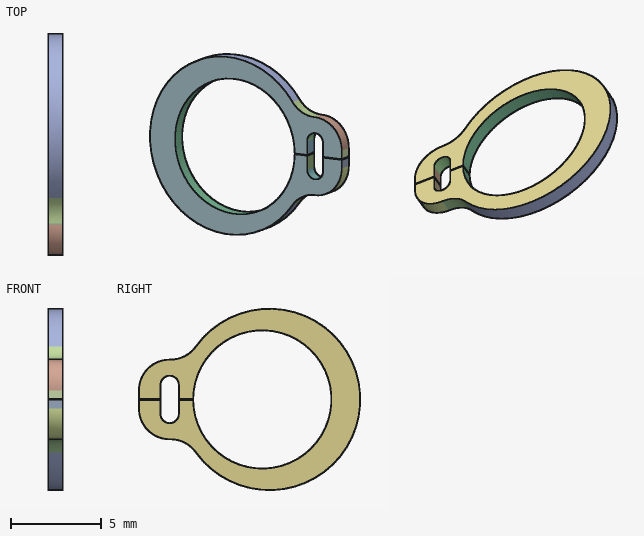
import cadquery as cq
import math

thickness = 0.8
outer_radius = 5.0
bore_radius = 3.8
bore_offset = 0.4

lug_corner_radius = 1.7
lug_flat_length = 1.0
blend_radius = 1.7

slot_center_distance = 5.5
slot_width = 1.0
slot_length = 2.6
split_gap = 0.05

lug_half_flat = lug_flat_length / 2
lug_half_height = lug_half_flat + lug_corner_radius
lug_corner_center = slot_center_distance
lug_tip = lug_corner_center + lug_corner_radius

blend_center_v = lug_half_height + blend_radius
blend_center_u = math.sqrt((outer_radius + blend_radius) ** 2 - blend_center_v ** 2)
ring_tangent_angle = math.atan2(blend_center_v, blend_center_u)


def point_on_arc(center, radius, angle):
    return (center[0] + radius * math.cos(angle), center[1] + radius * math.sin(angle))


def mirrored(point):
    return (point[0], -point[1])


def sketch_plane():
    return cq.Workplane(cq.Plane(origin=(thickness / 2, 0, 0), xDir=(0, -1, 0), normal=(-1, 0, 0)))


def make_body():
    blend_center = (blend_center_u, blend_center_v)
    corner_center = (lug_corner_center, lug_half_flat)

    ring_tangent = point_on_arc((0, 0), outer_radius, ring_tangent_angle)
    blend_start_angle = ring_tangent_angle - math.pi
    blend_mid_angle = (blend_start_angle - math.pi / 2) / 2
    blend_mid = point_on_arc(blend_center, blend_radius, blend_mid_angle)
    blend_end = (blend_center_u, lug_half_height)
    corner_start = (lug_corner_center, lug_half_height)
    corner_mid = point_on_arc(corner_center, lug_corner_radius, math.pi / 4)
    corner_end = (lug_tip, lug_half_flat)

    return (
        sketch_plane()
        .moveTo(*ring_tangent)
        .threePointArc(blend_mid, blend_end)
        .lineTo(*corner_start)
        .threePointArc(corner_mid, corner_end)
        .lineTo(*mirrored(corner_end))
        .threePointArc(mirrored(corner_mid), mirrored(corner_start))
        .lineTo(*mirrored(blend_end))
        .threePointArc(mirrored(blend_mid), mirrored(ring_tangent))
        .threePointArc((-outer_radius, 0), ring_tangent)
        .close()
        .extrude(thickness)
    )


def make_bore():
    return sketch_plane().center(bore_offset, 0).circle(bore_radius).extrude(thickness)


def make_slot():
    return (
        sketch_plane()
        .center(slot_center_distance, 0)
        .slot2D(slot_length, slot_width, 90)
        .extrude(thickness)
    )


def make_split():
    split_length = lug_tip - bore_offset
    return (
        sketch_plane()
        .center(bore_offset + split_length / 2, 0)
        .rect(split_length, split_gap)
        .extrude(thickness)
    )


result = make_body().cut(make_bore()).cut(make_slot()).cut(make_split())